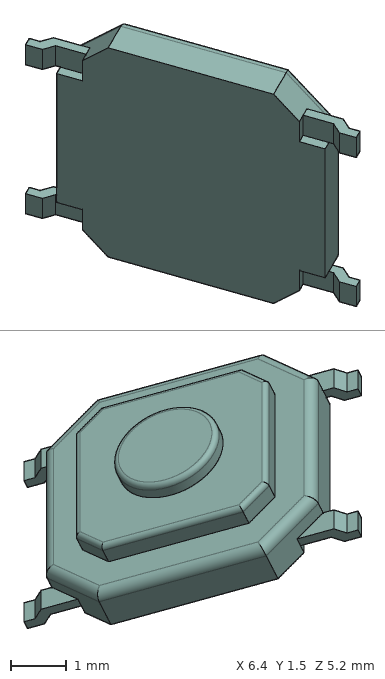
import cadquery as cq

overall_length = 6.4
total_depth = 1.5

base_side = 5.2
base_depth = 0.8
base_corner = 1.0
base_rounding = 0.2

cover_side = 3.685
cover_depth = 0.4
cover_corner = 0.5
cover_rounding = 0.1

button_diameter = 2.0
button_rounding = 0.1
button_depth = total_depth - base_depth - cover_depth

lead_width = base_corner / 2
lead_thickness = 0.18
lead_top = 2 * lead_thickness
lead_end = overall_length / 2
lead_root = base_side / 2 - lead_width
lead_inner_z = base_side / 2 - base_corner
lower_bend_start = 2.69
lower_bend_end = 2.875
upper_bend_start = 2.8
upper_bend_end = 2.99


def rounded_plate(side, depth, corner, rounding, start_y):
    """Square plate with cut corners and a rounded rim on its +Y face."""
    plate = cq.Workplane("XY").box(side, depth, side, centered=(True, False, True))
    plate = plate.edges("|Y").chamfer(corner)
    plate = plate.faces(">Y").edges().fillet(rounding)
    return plate.translate((0, start_y, 0))


def make_button():
    button = cq.Workplane("XZ").circle(button_diameter / 2).extrude(-button_depth)
    button = button.faces(">Y").edges().fillet(button_rounding)
    return button.translate((0, base_depth + cover_depth, 0))


def make_lead():
    """Lead at +X, +Z: its root is flat, then it bends down to a foot at Y = 0."""
    profile = [
        (lead_root, lead_thickness),
        (lower_bend_start, lead_thickness),
        (lower_bend_end, 0),
        (lead_end, 0),
        (lead_end, lead_thickness),
        (upper_bend_end, lead_thickness),
        (upper_bend_start, lead_top),
        (lead_root, lead_top),
    ]
    lead = cq.Workplane("XY").polyline(profile).close().extrude(lead_width)
    return lead.translate((0, 0, lead_inner_z))


def make_notch():
    """Space for one lead at +X, +Z, open at the side and at the mounting face."""
    notch = cq.Workplane("XY").box(
        lead_end - lead_root, lead_top, lead_width, centered=False
    )
    return notch.translate((lead_root, 0, lead_inner_z))


def at_four_corners(shape):
    """Mirror a +X, +Z shape to all four corners."""
    pair = shape.union(shape.mirror("YZ"))
    return pair.union(pair.mirror("XY"))


base = rounded_plate(base_side, base_depth, base_corner, base_rounding, 0)
cover = rounded_plate(cover_side, cover_depth, cover_corner, cover_rounding, base_depth)

result = (
    base.cut(at_four_corners(make_notch()))
    .union(at_four_corners(make_lead()))
    .union(cover)
    .union(make_button())
)